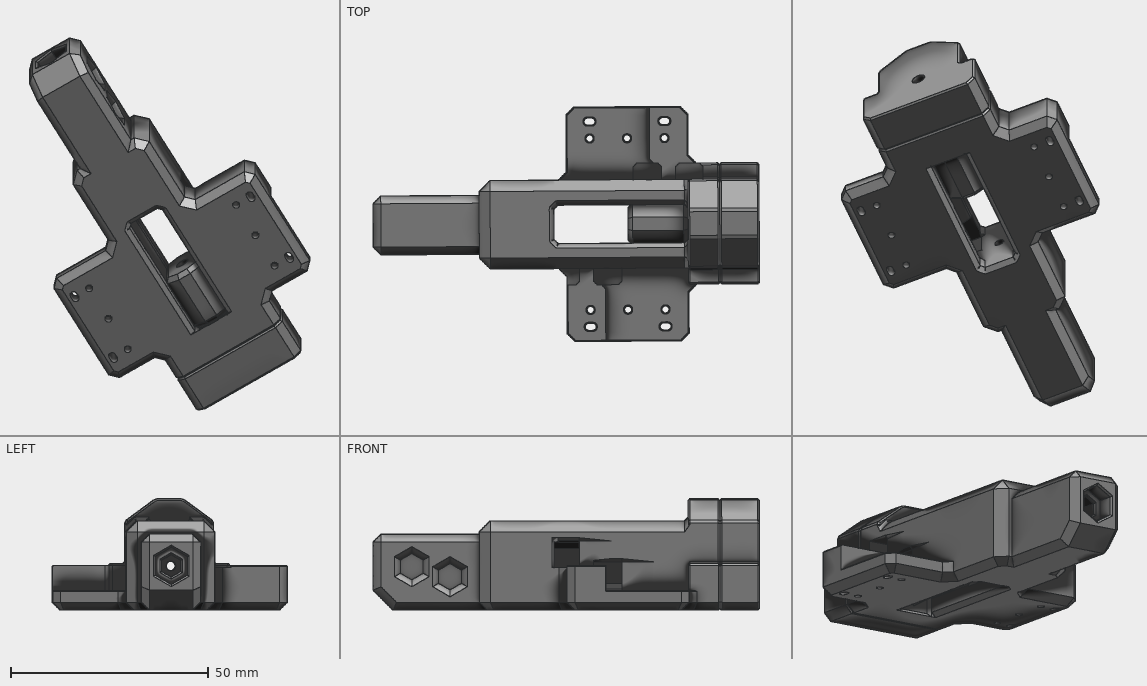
import cadquery as cq
import math

total_length = 98.03
total_height = 28.3
axis_height = 11.25
bore_diameter = 2.4
clearance_diameter = 3.4
skew_angle = 0.35
base_chamfer = 2.0
edge_break = 0.45

shank_length = 26.95
shank_width = 15.0
shank_height = 19.3
shank_chamfer = 2.0
shank_nose_chamfer = 5.1

block_start = shank_length
block_width = 22.5
block_height = 22.7
block_chamfer = 2.8

head_start = 79.95
cap_start = 88.0
head_ridge_half_width = 3.5
head_shoulder_height = 22.6
ear_half_width = 15.4
ear_height = 11.9
profile_break = 0.5
gusset = 0.9

plate_center = 64.6
plate_length = 31.0
plate_half_width = 29.77
plate_high = 11.4
plate_low = 5.0
plate_high_length = 9.8
plate_corner = 2.0
plate_edge_break = 0.3
root_gusset = 2.0

hole_diameter = 1.75
hole_pitch = 9.5
hole_row_offset = 21.75
slot_row_offset = 26.05
slot_length = 2.75
hole_countersink = 0.3

cavity_start = 45.95
cavity_end = 80.05
cavity_flats = 15.4
opening_width = 9.7
opening_corner = 1.0
opening_inner_break = 0.4
opening_flare = 1.2

window_floor_drop = 0.6
window_ramp_depth = 0.8
window_ramp_length = 8.0
window_corner = 0.9
step_corner = 1.0
upper_window = {"start": 45.4, "end": 52.3, "top": 18.4, "plate": plate_high, "eave": False}
lower_window = {"start": 55.9, "end": 63.1, "top": 13.1, "plate": plate_low, "eave": True}

shuttle_start = 64.7
shuttle_flats = 15.0
shuttle_width = 10.6
shuttle_ridge_width = 3.4
shuttle_chamfer = 1.2

end_socket_flats = 8.2
end_socket_depth = 4.8
end_socket_step_flats = 4.9
end_socket_step_depth = 5.0
end_socket_chamfer = 0.45
side_socket_flats = 8.8
side_socket_depth = 1.5
side_sockets = [(9.8, 11.05), (19.5, 8.5)]

block_half_width = block_width / 2
plate_start = plate_center - plate_length / 2
plate_end = plate_center + plate_length / 2
plate_step = plate_start + plate_high_length


def box(x_range, y_range, z_range):
    """Box between two corners."""
    corners = list(zip(x_range, y_range, z_range))
    size = [high - low for low, high in zip(*corners)]
    return cq.Workplane("XY").box(*size, centered=False).translate(corners[0])


def cross_section(x):
    """Workplane across the axis, local x along +Y and local y along +Z."""
    return cq.Workplane("YZ", origin=(x, 0, 0))


def hexagon(flats):
    """Corners of a hexagon about the origin, with a corner pointing up."""
    radius = flats / math.sqrt(3)
    angles = [math.radians(30 + 60 * i) for i in range(6)]
    return [(radius * math.cos(a), radius * math.sin(a)) for a in angles]


def hexagonal_bar(x_start, length, flats):
    """Hexagonal bar along the bore axis."""
    plane = cq.Workplane("YZ", origin=(x_start, 0, axis_height))
    return plane.polyline(hexagon(flats)).close().extrude(length)


def turned_half_round(shape):
    """Copy of a shape on the opposite side plate."""
    center = (plate_center, 0, 0)
    return shape.rotate(center, (plate_center, 0, 1), 180)


def bore(x_start, x_end, diameter):
    """Round passage along the axis."""
    plane = cq.Workplane("YZ", origin=(x_start, 0, axis_height))
    return plane.circle(diameter / 2).extrude(x_end - x_start)


def shank():
    """Chamfered bar with a sloping nose below its tip, running on into the block."""
    overlap = block_chamfer
    half_width = shank_width / 2
    body = box((0, shank_length + overlap), (-half_width, half_width), (0, shank_height))
    body = body.edges("<X and <Z").chamfer(shank_nose_chamfer)
    body = body.edges("(not (|Y or >X)) or (<X and >Z)").chamfer(shank_chamfer)
    return body


def block():
    """Chamfered box above the base, from the shank to the head."""
    body = box(
        (block_start, head_start + edge_break),
        (-block_half_width, block_half_width),
        (base_chamfer, block_height),
    )
    body = body.edges("(|X and >Z) or (<X and |Z) or (<X and >Z)").chamfer(block_chamfer)
    return body


def plates():
    """Base of the block with both side plates, each high at one end and low at the other."""
    base_end = head_start + 2 * root_gusset
    side = [
        (block_start, block_half_width - block_chamfer),
        (block_start + block_chamfer, block_half_width),
        (plate_start - root_gusset, block_half_width),
        (plate_start, block_half_width + root_gusset),
        (plate_start, plate_half_width - plate_corner),
        (plate_start + plate_corner, plate_half_width),
        (plate_end - plate_corner, plate_half_width),
        (plate_end, plate_half_width - plate_corner),
        (plate_end, ear_half_width + root_gusset),
        (plate_end + root_gusset, ear_half_width),
        (base_end, ear_half_width),
    ]
    outline = side + [(x, -y) for x, y in reversed(side)]

    def slab(height):
        prism = cq.Workplane("XY").polyline(outline).close().extrude(height)
        prism = prism.faces("<Z").chamfer(base_chamfer)
        return prism.faces(">Z").chamfer(plate_edge_break)

    high_region = box(
        (0, plate_step),
        (-plate_half_width, -block_half_width + block_chamfer),
        (0, plate_high),
    )
    corner = [
        (plate_step, -ear_half_width),
        (plate_step - step_corner, -ear_half_width),
        (plate_step, -ear_half_width - step_corner),
    ]
    corner = cq.Workplane("XY", origin=(0, 0, plate_low)).polyline(corner).close().extrude(plate_high)
    high_region = high_region.cut(corner)
    high_regions = high_region.union(turned_half_round(high_region))
    return slab(plate_low).union(slab(plate_high).intersect(high_regions))


def head_section(x_start, x_end):
    """Length of the arch with its two ears, with broken edges."""
    side = [
        (ear_half_width - base_chamfer, 0),
        (ear_half_width, base_chamfer),
        (ear_half_width, ear_height),
        (block_half_width, ear_height),
        (block_half_width, head_shoulder_height),
        (head_ridge_half_width, total_height),
    ]
    outline = side + [(-y, z) for y, z in reversed(side)]
    body = cross_section(x_start).polyline(outline).close().extrude(x_end - x_start)
    above_base = cq.selectors.BoxSelector(
        (x_start, -total_height, axis_height),
        (x_end, total_height, 2 * total_height),
    )
    body = body.edges("|X").edges(above_base).chamfer(profile_break)
    return body.faces("<X or >X").chamfer(edge_break)


def rail_gusset():
    """Flare of the block where its top runs into the head."""
    start = head_start - gusset
    half = block_half_width
    side = [
        (half, axis_height),
        (half, block_height - block_chamfer),
        (half - block_chamfer, block_height),
    ]
    outline = side + [(-y, z) for y, z in reversed(side)]
    flare = cross_section(start).polyline(outline).close().extrude(gusset + edge_break, taper=-45)
    return flare.intersect(box((start, cap_start), (-half, half), (axis_height, total_height)))


def opening():
    """Slot through the top and the bottom, flared at both, narrowed at the head."""
    straight_end = head_start - gusset
    half = opening_width / 2
    slot = box((cavity_start, head_start), (-half, half), (0, block_height))
    slot = slot.edges("|Z and <X").chamfer(opening_corner)
    outline = [
        (cavity_start, -half + opening_corner),
        (cavity_start + opening_corner, -half),
        (cavity_start + total_length, -half),
        (cavity_start + total_length, half),
        (cavity_start + opening_corner, half),
        (cavity_start, half - opening_corner),
    ]
    for z, height in [(block_height - opening_flare, opening_flare), (opening_flare, -opening_flare)]:
        plane = cq.Workplane("XY", origin=(0, 0, z))
        slot = slot.union(plane.polyline(outline).close().extrude(height, taper=-45))
    slot = slot.intersect(
        box((0, straight_end), (-block_half_width, block_half_width), (0, block_height))
    )
    flare_half = half + opening_flare
    throat = [
        (-half, 0),
        (half, 0),
        (half, block_height - opening_flare),
        (flare_half, block_height),
        (flare_half, total_height),
        (-flare_half, total_height),
        (-flare_half, block_height),
        (-half, block_height - opening_flare),
    ]
    throat = cross_section(straight_end).polyline(throat).close().extrude(gusset, taper=45)
    return slot.union(throat)


def cavity():
    """Hexagonal shuttle cavity joined with its opening, the edges between them broken."""
    cut = hexagonal_bar(cavity_start, cavity_end - cavity_start, cavity_flats).union(opening())
    half = opening_width / 2
    rise = (cavity_flats - half) / math.sqrt(3)
    x_range = (cavity_start + opening_corner, head_start - gusset)
    for y in (-half, half):
        for z in (axis_height - rise, axis_height + rise):
            middle = (sum(x_range) / 2, y, z)
            cut = cut.edges(cq.selectors.NearestToPointSelector(middle)).chamfer(opening_inner_break)
    return cut


def window(start, end, top, plate, eave):
    """Window in the -Y wall, with a shallow ramp behind it and its floor sunk in the plate.

    With an eave, the roof rises outwards at 45 degrees over the depth of the ramp.
    """
    roof = top - window_ramp_depth if eave else top
    hole = box(
        (start, end),
        (-ear_half_width, -opening_width / 2),
        (plate - window_floor_drop, roof),
    )
    hole = hole.edges("|Z and <Y").chamfer(window_corner)
    if eave:
        slope = [
            (-block_half_width, roof),
            (-block_half_width + window_ramp_depth, roof),
            (-block_half_width, top),
        ]
        hole = hole.union(cross_section(start).polyline(slope).close().extrude(end - start))
    ramp_plane = cq.Plane(
        origin=(end + window_ramp_length, -block_half_width, 0),
        xDir=(-window_ramp_depth, -window_ramp_length, 0),
        normal=(-window_ramp_length, window_ramp_depth, 0),
    )
    profile = [
        (0, plate),
        (window_ramp_depth, plate),
        (window_ramp_depth, top),
        (0, top - window_ramp_depth),
    ]
    run = math.hypot(window_ramp_length, window_ramp_depth)
    ramp = cq.Workplane(ramp_plane).polyline(profile).close().extrude(run)
    return hole.union(ramp)


def plate_holes():
    """Screw holes and tie slots of the -Y plate, countersunk at the top."""
    holes = cq.Workplane("XY")
    rows = [(step * hole_pitch, -hole_row_offset, hole_diameter) for step in (-1, 0, 1)]
    rows += [(step * hole_pitch, -slot_row_offset, slot_length) for step in (-1, 1)]
    for x_offset, y, length in rows:
        x = plate_center + x_offset
        top = plate_high if x < plate_step else plate_low
        for z, grow, depth, taper in [(0, 0, top, 0), (top, hole_countersink, -hole_countersink, 45)]:
            plane = cq.Workplane("XY", origin=(x, y, z))
            width = hole_diameter + 2 * grow
            if length > hole_diameter:
                sketch = plane.slot2D(length + 2 * grow, width)
            else:
                sketch = plane.circle(width / 2)
            holes = holes.add(sketch.extrude(depth, taper=taper))
    return holes.combine()


def end_socket():
    """Stepped hexagonal socket in the tip of the shank."""
    wide = hexagonal_bar(0, end_socket_depth, end_socket_flats)
    step = hexagonal_bar(end_socket_depth, end_socket_step_depth, end_socket_step_flats)
    cut = wide.union(step)
    for x, flats in [(0, end_socket_flats), (end_socket_depth, end_socket_step_flats)]:
        plane = cq.Workplane("YZ", origin=(x, 0, axis_height))
        mouth = plane.polyline(hexagon(flats + 2 * end_socket_chamfer)).close()
        cut = cut.union(mouth.extrude(end_socket_chamfer, taper=45))
    return cut


def side_socket(x, z):
    """Tapered hexagonal recess in the -Y side of the shank."""
    plane = cq.Workplane("XZ", origin=(x, -shank_width / 2, z))
    return plane.polyline(hexagon(side_socket_flats)).close().extrude(-side_socket_depth, taper=45)


def make_housing():
    """Shank, block, side plates and head in one piece."""
    body = shank().union(block()).union(plates())
    body = body.union(head_section(head_start, cap_start)).union(rail_gusset())
    body = body.cut(cavity())
    for size in (upper_window, lower_window):
        cut = window(**size)
        body = body.cut(cut).cut(turned_half_round(cut))
    holes = plate_holes()
    body = body.cut(holes).cut(turned_half_round(holes))
    body = body.cut(end_socket())
    for x, z in side_sockets:
        body = body.cut(side_socket(x, z))
    body = body.cut(bore(0, cavity_start, bore_diameter))
    return body.cut(bore(cavity_end, cap_start, clearance_diameter))


def make_cap():
    """Rear length of the arch and the ears."""
    return head_section(cap_start, total_length).cut(bore(cap_start, total_length, clearance_diameter))


def make_shuttle():
    """Narrowed hexagonal bar with flat ridges, in the rear of the cavity."""
    bar = hexagonal_bar(shuttle_start, cavity_end - shuttle_start, shuttle_flats)
    half_height = (shuttle_flats - shuttle_ridge_width / 2) / math.sqrt(3)
    bar = bar.intersect(
        box(
            (shuttle_start, cavity_end),
            (-shuttle_width / 2, shuttle_width / 2),
            (axis_height - half_height, axis_height + half_height),
        )
    )
    bar = bar.faces("<X or >X").chamfer(shuttle_chamfer)
    return bar.cut(bore(shuttle_start, cavity_end, clearance_diameter))


def skewed(body):
    """Body turned by the skew of the whole assembly."""
    return body.rotate((plate_center, 0, 0), (plate_center, 0, 1), skew_angle)


housing = skewed(make_housing())
cap = skewed(make_cap())
shuttle = skewed(make_shuttle())

result = cq.Compound.makeCompound([body.solids().val() for body in (housing, cap, shuttle)])